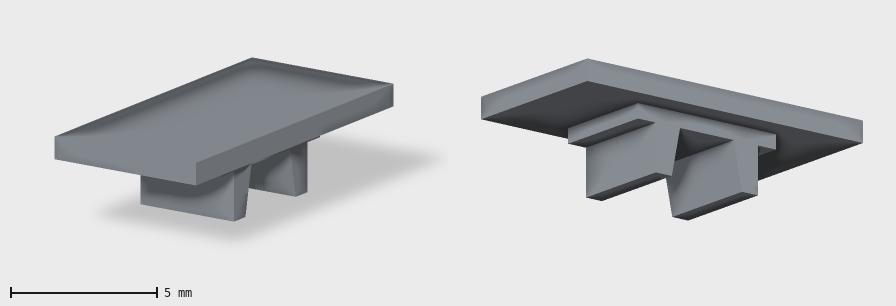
import cadquery as cq

plate_width = 5.85
plate_length = 12.0
plate_thickness = 0.8

total_height = 3.13
base_width = 3.85
pad_length = 6.0
pad_thickness = 0.55

leg_outer_span = 4.45
leg_root_gap = 2.34
leg_tip_gap = 3.06

pad_bottom = total_height - plate_thickness - pad_thickness
plate_bottom = total_height - plate_thickness


def centred_block(width, length, height, bottom):
    """Block centred on the Z axis, standing on the given level."""
    return (
        cq.Workplane("XY")
        .workplane(offset=bottom)
        .box(width, length, height, centered=(True, True, False))
    )


def tapered_leg(side):
    """Leg on the +Y (side = 1) or -Y (side = -1) half."""
    profile = [
        (side * leg_outer_span / 2, pad_bottom),
        (side * leg_outer_span / 2, 0),
        (side * leg_tip_gap / 2, 0),
        (side * leg_root_gap / 2, pad_bottom),
    ]
    return cq.Workplane("YZ").polyline(profile).close().extrude(base_width / 2, both=True)


plate = centred_block(plate_width, plate_length, plate_thickness, plate_bottom)
pad = centred_block(base_width, pad_length, pad_thickness, pad_bottom)

result = plate.union(pad)
for side in (-1, 1):
    result = result.union(tapered_leg(side))